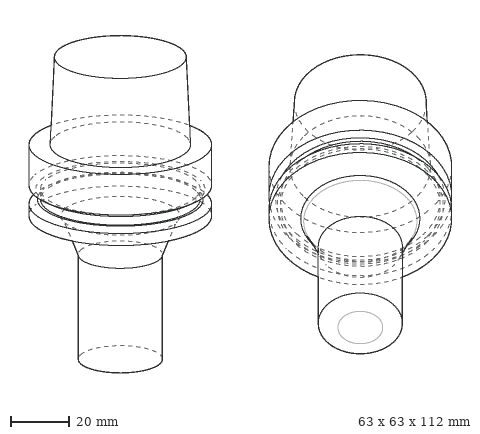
import cadquery as cq

flange_diameter = 63.0
groove_diameter = 55.0
shank_diameter = 29.0
tip_diameter = 15.5
neck_top_diameter = 39.0
collar_diameter = 41.0
upper_lip_diameter = 58.2
lower_lip_diameter = 57.1
taper_base_diameter = 48.4
taper_top_diameter = 45.5

shank_start_z = 2.0
neck_start_z = 40.1
collar_start_z = 52.9
flange_bottom_z = 54.2
lower_bevel_z = 58.6
groove_bottom_z = 60.3
groove_top_z = 64.0
upper_bevel_z = 65.3
flange_top_z = 80.1
total_height = 112.0

profile = [
    (tip_diameter, 0),
    (shank_diameter, shank_start_z),
    (shank_diameter, neck_start_z),
    (neck_top_diameter, collar_start_z),
    (collar_diameter, flange_bottom_z),
    (flange_diameter, flange_bottom_z),
    (flange_diameter, lower_bevel_z),
    (lower_lip_diameter, groove_bottom_z),
    (groove_diameter, groove_bottom_z),
    (groove_diameter, groove_top_z),
    (upper_lip_diameter, groove_top_z),
    (flange_diameter, upper_bevel_z),
    (flange_diameter, flange_top_z),
    (taper_base_diameter, flange_top_z),
    (taper_top_diameter, total_height),
]

half_section = [(0, 0)]
half_section += [(diameter / 2, z) for diameter, z in profile]
half_section += [(0, total_height)]

result = (
    cq.Workplane("XZ")
    .polyline(half_section)
    .close()
    .revolve(360, (0, 0), (0, 1))
)